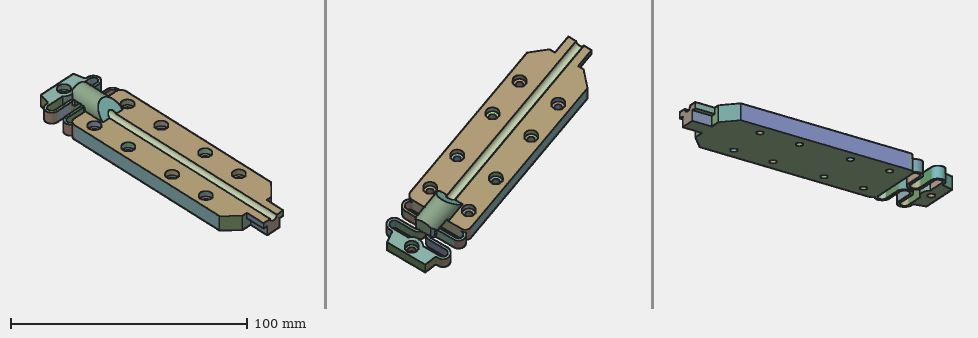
import cadquery as cq

total_length = 128.28
spring_width = 31.83
total_height = 14.15

body_start = 22.65
body_end = 118.4
body_width = 31.3
body_height = 8.0
body_corner_radius = 3.0
body_chamfer = 6.8

tongue_width = 12.0
tongue_foot_width = 7.5
tongue_foot_height = 5.0

spring_height = 6.1
spring_wall = 1.3
loop_outer_radius = 3.3
loop_inner_radius = loop_outer_radius - spring_wall
first_loop_x = 9.25
second_loop_x = body_start - loop_inner_radius
loop_center_y = spring_width / 2 - loop_outer_radius
bend_center_y = 4.2
block_front_width = 19.8
block_rear_width = 22.4
block_boss_radius = 4.95
block_fillet_radius = 0.8

head_radius = 6.0
head_start = 12.85
head_axis_z = total_height - head_radius
roof_end = 26.7
head_end = 33.1
roof_underside = 10.0
roof_fillet_radius = 1.8
nose_width = 7.5
pillar_width = 10.0
pillar_end = 15.5

channel_diameter = 3.96
counterbore_diameter = 6.0
counterbore_depth = 3.0
body_hole_diameter = 3.2
body_hole_xs = (32.0, 52.0, 78.0, 98.0)
body_hole_y = 10.0
block_hole_diameter = 3.5
block_hole_x = 4.15


def box(x_start, x_end, width, z_start, z_end):
    """Box centred on the XZ plane."""
    return (
        cq.Workplane("XY", origin=((x_start + x_end) / 2, 0, z_start))
        .box(x_end - x_start, width, z_end - z_start, centered=(True, True, False))
    )


def make_body():
    """Plate with rounded corners at one end, chamfered corners and a tongue at the other."""
    plate = box(body_start, body_end, body_width, 0, body_height)
    plate = plate.edges("|Z and <X").fillet(body_corner_radius)
    plate = plate.edges("|Z and >X").chamfer(body_chamfer)
    tongue = box(body_end, total_length, tongue_width, tongue_foot_height, body_height)
    tongue_foot = box(body_end, total_length, tongue_foot_width, 0, tongue_foot_height)
    return plate.union(tongue).union(tongue_foot)


def make_block():
    """Tapered mounting block with a round boss around its screw hole."""
    outer_x = first_loop_x - loop_outer_radius
    inner_x = first_loop_x - loop_inner_radius
    block = (
        cq.Workplane("XY")
        .moveTo(0, -block_front_width / 2)
        .lineTo(outer_x, -block_rear_width / 2)
        .lineTo(inner_x, -block_rear_width / 2)
        .lineTo(inner_x, block_rear_width / 2)
        .lineTo(outer_x, block_rear_width / 2)
        .lineTo(0, block_front_width / 2)
        .close()
        .extrude(spring_height)
    )
    boss = (
        cq.Workplane("XY")
        .center(block_hole_x, 0)
        .circle(block_boss_radius)
        .extrude(spring_height)
        .intersect(box(block_hole_x, total_length, spring_width, 0, spring_height))
    )
    return block.union(boss)


def make_spring():
    """Serpentine strip on the +Y side: loop, return bend at the pillar, second loop."""
    first_left_outer = first_loop_x - loop_outer_radius
    first_left_inner = first_loop_x - loop_inner_radius
    first_right_inner = first_loop_x + loop_inner_radius
    first_right_outer = first_loop_x + loop_outer_radius
    second_left_outer = second_loop_x - loop_outer_radius
    second_left_inner = second_loop_x - loop_inner_radius
    second_right_inner = second_loop_x + loop_inner_radius
    second_right_outer = second_loop_x + loop_outer_radius
    bend_x = (first_loop_x + second_loop_x) / 2
    bend_small_radius = (second_left_outer - first_right_outer) / 2
    bend_large_radius = bend_small_radius + spring_wall
    loop_outer_top = loop_center_y + loop_outer_radius
    loop_inner_top = loop_center_y + loop_inner_radius
    return (
        cq.Workplane("XY")
        .moveTo(first_left_outer, 0)
        .lineTo(first_left_outer, loop_center_y)
        .threePointArc((first_loop_x, loop_outer_top), (first_right_outer, loop_center_y))
        .lineTo(first_right_outer, bend_center_y)
        .threePointArc((bend_x, bend_center_y - bend_small_radius), (second_left_outer, bend_center_y))
        .lineTo(second_left_outer, loop_center_y)
        .threePointArc((second_loop_x, loop_outer_top), (second_right_outer, loop_center_y))
        .lineTo(second_right_outer, 0)
        .lineTo(second_right_inner, 0)
        .lineTo(second_right_inner, loop_center_y)
        .threePointArc((second_loop_x, loop_inner_top), (second_left_inner, loop_center_y))
        .lineTo(second_left_inner, bend_center_y)
        .threePointArc((bend_x, bend_center_y - bend_large_radius), (first_right_inner, bend_center_y))
        .lineTo(first_right_inner, loop_center_y)
        .threePointArc((first_loop_x, loop_inner_top), (first_left_inner, loop_center_y))
        .lineTo(first_left_inner, 0)
        .close()
        .extrude(spring_height)
    )


def make_head():
    """Half-round roof with a sloped rear end, carried by the body and a pillar."""
    side_profile = (
        cq.Workplane("XZ", origin=(0, head_radius, 0))
        .moveTo(head_start, roof_underside)
        .lineTo(head_start, total_height)
        .lineTo(roof_end, total_height)
        .lineTo(head_end, body_height)
        .lineTo(body_start, body_height)
        .lineTo(body_start, roof_underside - roof_fillet_radius)
        .radiusArc((body_start - roof_fillet_radius, roof_underside), -roof_fillet_radius)
        .close()
        .extrude(2 * head_radius)
    )
    cylinder = (
        cq.Workplane("YZ", origin=(head_start, 0, head_axis_z))
        .circle(head_radius)
        .extrude(head_end - head_start)
    )
    pillar = box(head_start, pillar_end, pillar_width, spring_height, roof_underside)
    nose_depth = head_radius - nose_width / 2
    nose_outline = (
        cq.Workplane("XY")
        .moveTo(head_start, -nose_width / 2)
        .lineTo(head_start + nose_depth, -head_radius)
        .lineTo(head_end, -head_radius)
        .lineTo(head_end, head_radius)
        .lineTo(head_start + nose_depth, head_radius)
        .lineTo(head_start, nose_width / 2)
        .close()
        .extrude(total_height)
    )
    return side_profile.intersect(cylinder).union(pillar).intersect(nose_outline)


def counterbored_holes(points, hole_diameter, top_z):
    """Cutting tool for through holes with counterbores opening at top_z."""
    holes = cq.Workplane("XY").pushPoints(points).circle(hole_diameter / 2).extrude(top_z)
    counterbores = (
        cq.Workplane("XY", origin=(0, 0, top_z - counterbore_depth))
        .pushPoints(points)
        .circle(counterbore_diameter / 2)
        .extrude(counterbore_depth)
    )
    return holes.union(counterbores)


spring = make_spring()
block_and_springs = make_block().union(spring).union(spring.mirror("XZ"))
for side in (-1, 1):
    corner = (first_loop_x - loop_outer_radius, side * block_rear_width / 2, spring_height / 2)
    block_and_springs = (
        block_and_springs.edges(cq.selectors.NearestToPointSelector(corner)).fillet(block_fillet_radius)
    )

channel = (
    cq.Workplane("YZ", origin=(body_start, 0, body_height))
    .circle(channel_diameter / 2)
    .extrude(total_length - body_start)
)
body_hole_points = [(x, side * body_hole_y) for x in body_hole_xs for side in (-1, 1)]

result = (
    make_body()
    .union(block_and_springs)
    .union(make_head())
    .cut(channel)
    .cut(counterbored_holes(body_hole_points, body_hole_diameter, body_height))
    .cut(counterbored_holes([(block_hole_x, 0)], block_hole_diameter, spring_height))
)